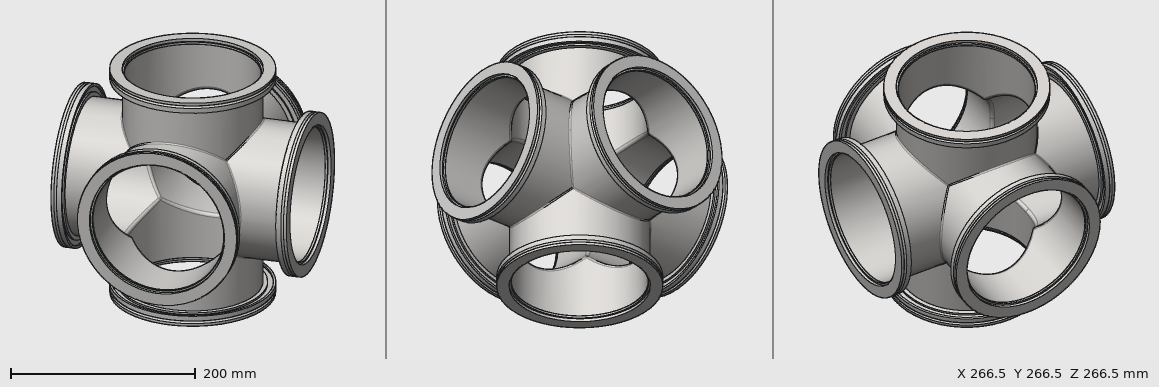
import cadquery as cq

SPAN = 266.5
HALF_SPAN = SPAN / 2

TUBE_OUTER_DIAMETER = 152.5
TUBE_BORE_DIAMETER = 148.2
OUTER_FILLET_RADIUS = 1.47
WALL = (TUBE_OUTER_DIAMETER - TUBE_BORE_DIAMETER) / 2
INNER_FILLET_RADIUS = OUTER_FILLET_RADIUS + WALL

FLANGE_DIAMETER = 180.2
FLANGE_THICKNESS = 12.0
RIM_GROOVE_RADIUS = 1.47
RIM_GROOVE_DEPTH = 4.8
FACE_RECESS_DIAMETER = 153.0
FACE_RECESS_DEPTH = 3.5
LIP_DIAMETER = 149.0
LIP_THICKNESS = 2.5
SOCKET_DEPTH = FACE_RECESS_DEPTH + LIP_THICKNESS

BACK_GROOVE_INNER_DIAMETER = 162.4
BACK_GROOVE_OUTER_DIAMETER = 175.0
BACK_GROOVE_DEPTH = 2.0

TUBE_LENGTH = SPAN - 2 * SOCKET_DEPTH

TUBE_PLANES = ["YZ", "XZ", "XY"]

PORT_ROTATIONS = [
    ((0, 1, 0), 0),
    ((0, 1, 0), 180),
    ((0, 1, 0), 90),
    ((0, 1, 0), -90),
    ((1, 0, 0), 90),
    ((1, 0, 0), -90),
]


def crossed_cylinders(diameter):
    """Three equal cylinders through the centre, one along each axis."""
    cross = cq.Workplane("XY")
    for plane in TUBE_PLANES:
        cross = cross.union(cq.Workplane(plane).circle(diameter / 2).extrude(TUBE_LENGTH / 2, both=True))
    return cross


def fillet_intersections(cross, radius):
    """Round the curved edges where the cylinders meet, leaving the end circles sharp."""
    return cross.edges("%ELLIPSE").fillet(radius)


def make_cross_body():
    """Hollow six-way cross with rounded tube and bore intersections."""
    outside = fillet_intersections(crossed_cylinders(TUBE_OUTER_DIAMETER), OUTER_FILLET_RADIUS)
    inside = fillet_intersections(crossed_cylinders(TUBE_BORE_DIAMETER), INNER_FILLET_RADIUS)
    return outside.cut(inside)


def disc(diameter, start, end):
    """Solid disc on the +Z axis between two depths below the sealing face."""
    return cq.Workplane("XY").workplane(offset=HALF_SPAN - end).circle(diameter / 2).extrude(end - start)


def ring(outer_diameter, inner_diameter, start, end):
    """Flat ring on the +Z axis between two depths below the sealing face."""
    return disc(outer_diameter, start, end).cut(disc(inner_diameter, start, end))


def make_rim_groove():
    """Torus around the +Z axis whose inner half is the rim groove."""
    rim_radius = FLANGE_DIAMETER / 2
    profile = cq.Workplane("XZ").center(rim_radius, HALF_SPAN - RIM_GROOVE_DEPTH).circle(RIM_GROOVE_RADIUS)
    return profile.revolve(360, (-rim_radius, 0), (-rim_radius, 1))


def make_flange():
    """Flange of the +Z port."""
    flange = disc(FLANGE_DIAMETER, 0, FLANGE_THICKNESS)

    flange = flange.cut(disc(FACE_RECESS_DIAMETER, 0, FACE_RECESS_DEPTH))
    flange = flange.cut(disc(LIP_DIAMETER, FACE_RECESS_DEPTH, SOCKET_DEPTH))
    flange = flange.cut(disc(TUBE_OUTER_DIAMETER, SOCKET_DEPTH, FLANGE_THICKNESS))

    flange = flange.cut(make_rim_groove())

    groove_floor = FLANGE_THICKNESS - BACK_GROOVE_DEPTH
    return flange.cut(
        ring(BACK_GROOVE_OUTER_DIAMETER, BACK_GROOVE_INNER_DIAMETER, groove_floor, FLANGE_THICKNESS)
    )


cross_body = make_cross_body()

port_flange = make_flange()
flanges = []
for rotation_axis, angle in PORT_ROTATIONS:
    flanges.append(port_flange.rotate((0, 0, 0), rotation_axis, angle))

result = cq.Compound.makeCompound([cross_body.val(), *[flange.val() for flange in flanges]])